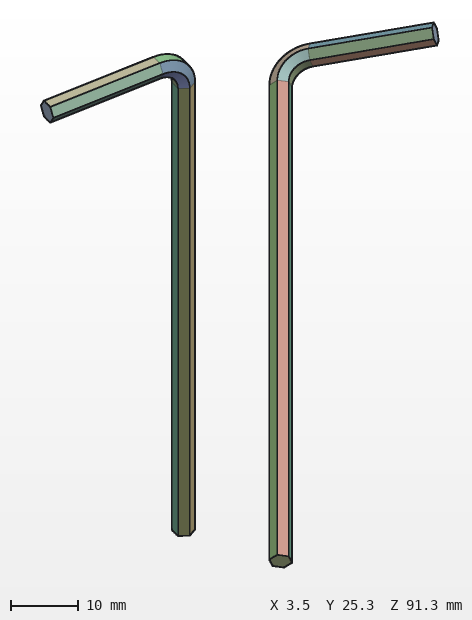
import cadquery as cq
import math

long_arm_height = 91.3
short_arm_reach = 25.3
across_corners = 3.5
inner_bend_radius = 3.2

across_flats = across_corners * math.cos(math.pi / 6)
half_flats = across_flats / 2
bend_radius = inner_bend_radius + half_flats
half_height = long_arm_height / 2
half_reach = short_arm_reach / 2

long_arm_y = half_reach - half_flats
short_arm_z = half_height - half_flats
bend_center_y = long_arm_y - bend_radius
bend_center_z = short_arm_z - bend_radius
bend_mid_offset = bend_radius * math.sin(math.pi / 4)


def key_centerline():
    """Path up the long arm, round the bend and out along the short arm to -Y."""
    return (
        cq.Workplane("YZ")
        .moveTo(long_arm_y, -half_height)
        .lineTo(long_arm_y, bend_center_z)
        .threePointArc(
            (bend_center_y + bend_mid_offset, bend_center_z + bend_mid_offset),
            (bend_center_y, short_arm_z),
        )
        .lineTo(-half_reach, short_arm_z)
    )


result = (
    cq.Workplane("XY", origin=(0, long_arm_y, -half_height))
    .polygon(6, across_corners)
    .sweep(key_centerline())
)